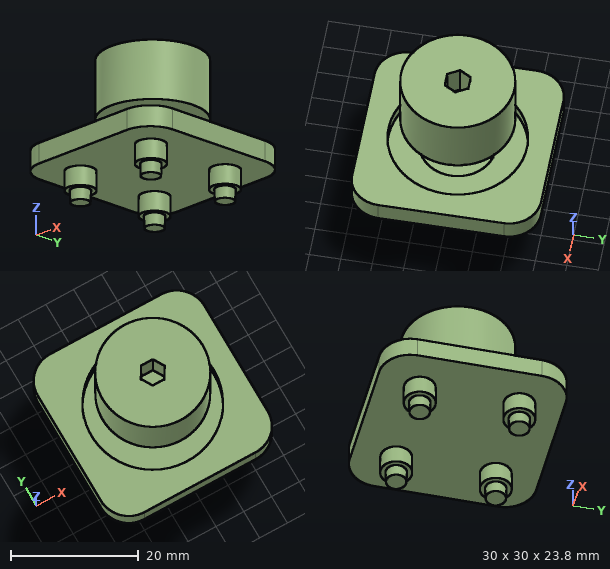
import cadquery as cq

plate_width = 30.0
plate_thickness = 3.5
corner_radius = 5.0

outer_recess_diameter = 22.0
outer_recess_depth = 2.0
inner_recess_diameter = 11.9
inner_recess_depth = 0.5

foot_spacing = 16.0
foot_diameter = 5.0
foot_height = 3.27
tip_top_diameter = 3.4
tip_bottom_diameter = 3.2
tip_height = 2.0

head_diameter = 18.0
head_height = 10.0
head_clearance = 5.0
neck_top_diameter = 8.0
neck_bottom_diameter = 7.77
socket_across_corners = 4.32
socket_depth = 5.0
socket_draft = 1.0

outer_floor_z = plate_thickness - outer_recess_depth
inner_floor_z = outer_floor_z - inner_recess_depth
neck_bottom_z = outer_floor_z
head_bottom_z = plate_thickness + head_clearance
head_top_z = head_bottom_z + head_height


def cylinder(diameter, bottom_z, height):
    """Vertical cylinder on the Z axis."""
    return cq.Workplane("XY").workplane(offset=bottom_z).circle(diameter / 2).extrude(height)


def cone(bottom_diameter, top_diameter, bottom_z, height):
    """Vertical truncated cone on the Z axis."""
    return cq.Workplane(
        cq.Solid.makeCone(bottom_diameter / 2, top_diameter / 2, height, pnt=cq.Vector(0, 0, bottom_z))
    )


def make_foot():
    """Cylindrical foot with a smaller tapered tip, hanging below Z = 0."""
    shank = cylinder(foot_diameter, -foot_height, foot_height)
    tip = cone(tip_bottom_diameter, tip_top_diameter, -foot_height - tip_height, tip_height)
    return shank.union(tip)


def make_base():
    """Rounded square plate with a stepped recess and four feet."""
    base = (
        cq.Workplane("XY")
        .rect(plate_width, plate_width)
        .extrude(plate_thickness)
        .edges("|Z")
        .fillet(corner_radius)
    )
    base = base.cut(cylinder(outer_recess_diameter, outer_floor_z, outer_recess_depth))
    base = base.cut(cylinder(inner_recess_diameter, inner_floor_z, inner_recess_depth))
    foot = make_foot()
    for x_side in (-1, 1):
        for y_side in (-1, 1):
            position = (x_side * foot_spacing / 2, y_side * foot_spacing / 2, 0)
            base = base.union(foot.translate(position))
    return base


def make_knob():
    """Head with a hexagonal socket, its neck ending level with the outer recess floor."""
    head = cylinder(head_diameter, head_bottom_z, head_height)
    neck_height = head_bottom_z - neck_bottom_z
    neck = cone(neck_bottom_diameter, neck_top_diameter, neck_bottom_z, neck_height)
    socket = (
        cq.Workplane("XY")
        .workplane(offset=head_top_z)
        .polygon(6, socket_across_corners)
        .extrude(-socket_depth, taper=socket_draft)
    )
    return head.union(neck).cut(socket)


base = make_base()
knob = make_knob()
result = cq.Compound.makeCompound([base.val(), knob.val()])